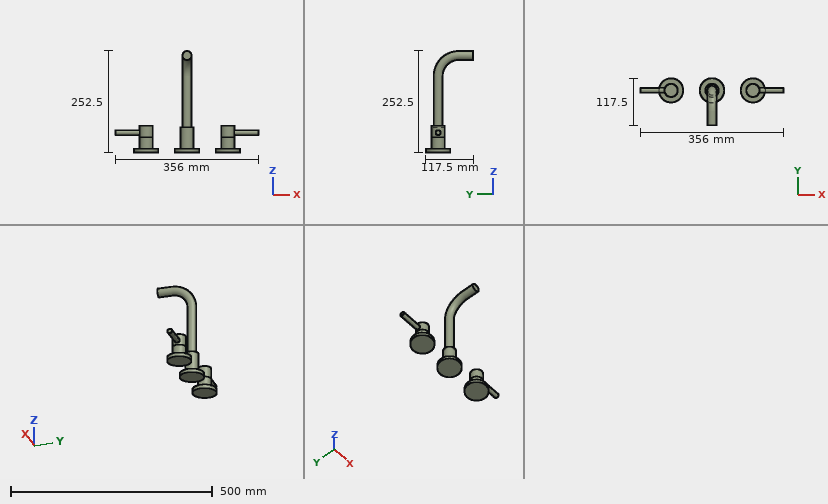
import cadquery as cq

flange_height = 10.0
post_radius = 16.7
edge_chamfer = 0.7

spout_flange_radius = 30.5
spout_post_top = 63.5
tube_radius = 11.5
spout_top = 252.5
spout_reach = 87.0
bend_radius = 51.3
tube_axis_height = spout_top - tube_radius
bend_start_height = tube_axis_height - bend_radius

valve_spacing = 101.5
valve_flange_radius = 30.3
base_top = 37.7
lever_top = 67.0
lever_radius = 6.5
lever_axis_height = 49.5
lever_tip = 178.0
lever_length = lever_tip - valve_spacing


def cylinder(radius, bottom, top):
    """Upright cylinder on the Z axis between two heights."""
    return cq.Workplane("XY").workplane(offset=bottom).circle(radius).extrude(top - bottom)


def make_spout():
    """Flanged post carrying a tube that bends forward, toward -Y."""
    flange = cylinder(spout_flange_radius, 0, flange_height).faces(">Z").chamfer(edge_chamfer)
    post = cylinder(post_radius, 0, spout_post_top).faces(">Z").chamfer(edge_chamfer)
    riser = cylinder(tube_radius, 0, bend_start_height)
    bend = (
        cq.Workplane("XY")
        .workplane(offset=bend_start_height)
        .circle(tube_radius)
        .revolve(90, (0, -bend_radius), (1, -bend_radius))
    )
    outlet = (
        cq.Workplane("XZ")
        .workplane(offset=bend_radius)
        .center(0, tube_axis_height)
        .circle(tube_radius)
        .extrude(spout_reach - bend_radius)
    )
    return flange.union(post).union(riser).union(bend).union(outlet)


def make_valve_base(side):
    """Flanged lower post of a valve; side is -1 for -X and +1 for +X."""
    flange = cylinder(valve_flange_radius, 0, flange_height)
    post = cylinder(post_radius, 0, base_top)
    return flange.union(post).translate((side * valve_spacing, 0, 0))


def make_lever(side):
    """Turning upper post with a bar pointing away from the spout."""
    post = cylinder(post_radius, base_top, lever_top).faces(">Z").chamfer(edge_chamfer)
    bar = (
        cq.Workplane("YZ")
        .center(0, lever_axis_height)
        .circle(lever_radius)
        .extrude(lever_length)
        .faces(">X")
        .chamfer(edge_chamfer)
    )
    lever = post.union(bar)
    if side < 0:
        lever = lever.mirror("YZ")
    return lever.translate((side * valve_spacing, 0, 0))


spout = make_spout()
valve_bases = []
levers = []
for side in (-1, 1):
    valve_bases.append(make_valve_base(side).val())
    levers.append(make_lever(side).val())

result = cq.Compound.makeCompound([spout.val(), *valve_bases, *levers])